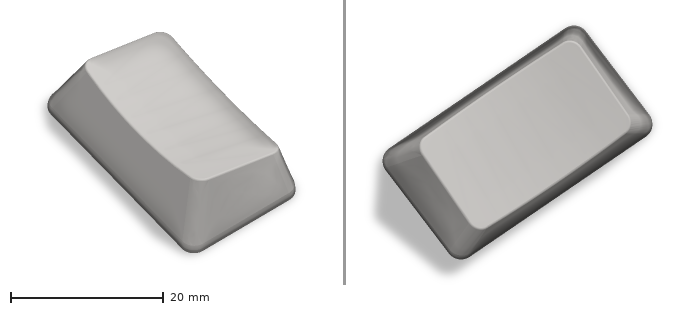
import cadquery as cq
import math

length = 32.45
width = 18.17
corner_radius = 1.95
skirt_height = 0.62
blend_height = 0.68

rim_length = 25.65
rim_front_y = -5.2
rim_front_z = 9.48
rim_back_y = 8.73
rim_back_z = 6.07
rim_corner_radius = 1.8
rim_edge_radius = 0.3

dish_front_depth = 1.43
dish_back_depth = 1.05
dish_overrun = 1.62
dish_cutter_height = 3.25

rim_drop = rim_front_z - rim_back_z
rim_run = rim_back_y - rim_front_y
rim_width = math.hypot(rim_run, rim_drop)
rim_plane = cq.Plane(
    origin=(0, (rim_front_y + rim_back_y) / 2, (rim_front_z + rim_back_z) / 2),
    xDir=(1, 0, 0),
    normal=(0, rim_drop, rim_run),
)

lean_start = skirt_height + blend_height / 2
side_lean = (length - rim_length) / 2 / (rim_front_z - lean_start)
front_lean = (rim_front_y + width / 2) / (rim_front_z - lean_start)
back_lean = (width / 2 - rim_back_y) / (rim_back_z - lean_start)


def rounded_rectangle(plane, size_x, size_y, radius):
    """Closed rounded-rectangle wire centred on the given plane."""
    outline = cq.Workplane(plane).rect(size_x, size_y).val()
    return outline.fillet2D(radius, outline.Vertices())


def blend_outline(fraction):
    """Level outline in the blend; its inset grows with the square of the height."""
    inset = fraction**2 * blend_height / 2
    side, front, back = (inset * lean for lean in (side_lean, front_lean, back_lean))
    height = skirt_height + fraction * blend_height
    plane = cq.Plane.XY(origin=(0, (front - back) / 2, height))
    return rounded_rectangle(plane, length - 2 * side, width - front - back, corner_radius)


def make_body():
    """Skirt, curved blend and walls ruled up to the tilted rim."""
    foot = rounded_rectangle(cq.Plane.XY(), length, width, corner_radius)
    skirt = cq.Workplane("XY").add(foot).toPending().extrude(skirt_height)
    blend = cq.Solid.makeLoft([blend_outline(0), blend_outline(0.5), blend_outline(1)])
    rim = rounded_rectangle(rim_plane, rim_length, rim_width, rim_corner_radius)
    walls = cq.Solid.makeLoft([blend_outline(1), rim], True)
    return skirt.union(cq.Workplane(blend), clean=False).union(cq.Workplane(walls), clean=False)


def dish_section(distance, depth):
    """Upright section of the dish, at a distance along the slope from the rim centre."""
    half_length = rim_length / 2
    plane = cq.Plane(rim_plane.toWorldCoords((0, distance, 0)), rim_plane.xDir, rim_plane.yDir * -1)
    section = (
        cq.Workplane(plane)
        .moveTo(-half_length, 0)
        .threePointArc((0, -depth), (half_length, 0))
        .lineTo(half_length, dish_cutter_height)
        .lineTo(-half_length, dish_cutter_height)
        .close()
    )
    return section.wire().val()


def make_dish():
    """Tapered trough that passes through the front and back of the rim."""
    front = dish_section(-rim_width / 2 - dish_overrun, dish_front_depth)
    back = dish_section(rim_width / 2 + dish_overrun, dish_back_depth)
    return cq.Workplane(cq.Solid.makeLoft([front, back], True))


def round_rim(body):
    """Soften the edge all around the dished top face."""
    dish_middle_depth = (dish_front_depth + dish_back_depth) / 2
    dish_bottom = rim_plane.toWorldCoords((0, 0, -dish_middle_depth)).toTuple()
    dish_face = body.faces(cq.selectors.NearestToPointSelector(dish_bottom))
    return dish_face.edges().fillet(rim_edge_radius)


result = round_rim(make_body().cut(make_dish(), clean=False))